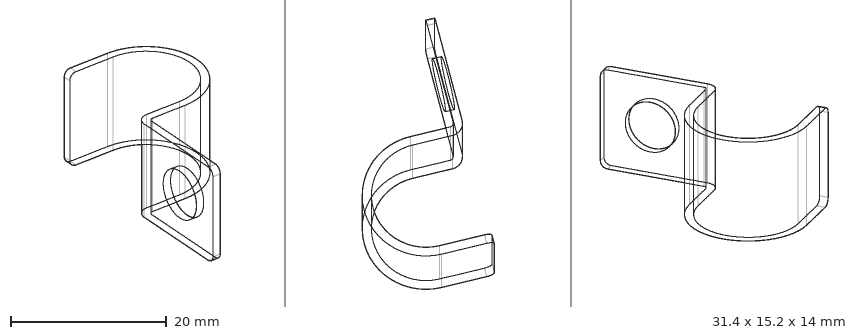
import cadquery as cq
import math

length = 31.4
width = 14.0
thickness = 1.2
inner_radius = 7.0
leg_length = 7.0
bend_inner_radius = 0.5
corner_radius = 1.0
hole_diameter = 7.0
hole_edge_distance = 7.0

outer_radius = inner_radius + thickness
bend_outer_radius = bend_inner_radius + thickness
mount_y = -leg_length
flange_top_y = mount_y + thickness
flange_end_x = length - outer_radius
bend_x = inner_radius + bend_outer_radius
bend_y = mount_y + bend_outer_radius
hole_x = flange_end_x - hole_edge_distance


def bend_middle(radius):
    """Point halfway round the bend, facing the outer side of the corner."""
    offset = radius * math.sqrt(0.5)
    return (bend_x - offset, bend_y - offset)


def bent_strip():
    """Free leg, half-round saddle, second leg and flange as one bent strip."""
    return (
        cq.Workplane("XY")
        .moveTo(-outer_radius, mount_y)
        .lineTo(-outer_radius, 0)
        .threePointArc((0, outer_radius), (outer_radius, 0))
        .lineTo(outer_radius, bend_y)
        .threePointArc(bend_middle(bend_inner_radius), (bend_x, flange_top_y))
        .lineTo(flange_end_x, flange_top_y)
        .lineTo(flange_end_x, mount_y)
        .lineTo(bend_x, mount_y)
        .threePointArc(bend_middle(bend_outer_radius), (inner_radius, bend_y))
        .lineTo(inner_radius, 0)
        .threePointArc((0, inner_radius), (-inner_radius, 0))
        .lineTo(-inner_radius, mount_y)
        .close()
        .extrude(width / 2, both=True)
    )


def mounting_hole():
    """Cylinder through the flange, along Y."""
    return (
        cq.Workplane("XZ", origin=(hole_x, flange_top_y, 0))
        .circle(hole_diameter / 2)
        .extrude(thickness)
    )


strip = bent_strip()

strip = strip.faces(">X").edges("|Y").fillet(corner_radius)
free_end_corners = cq.selectors.BoxSelector(
    (-outer_radius - thickness, mount_y - thickness, -width),
    (-inner_radius + thickness, mount_y + thickness, width),
)
strip = strip.edges("|X").edges(free_end_corners).fillet(corner_radius)

result = strip.cut(mounting_hole())